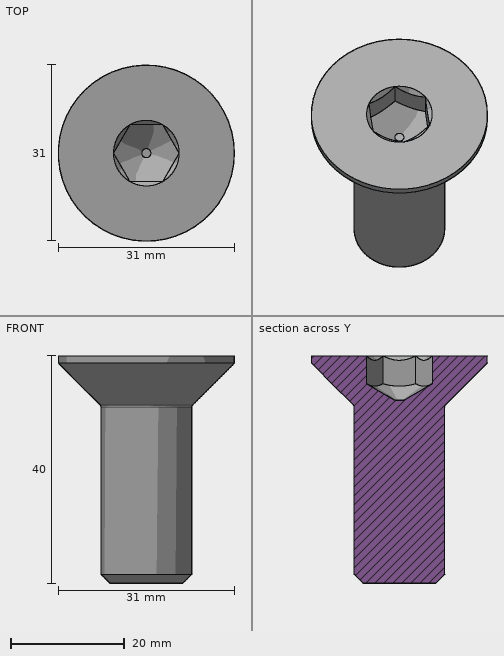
import cadquery as cq
import math

length = 40.0
head_diameter = 31.0
shank_diameter = 16.0

rim_height = 1.3
head_slope = 45.0
neck_fillet = 0.6
tip_chamfer = 1.6

socket_flats = 10.0
socket_depth = 4.9
socket_bottom_diameter = 1.6
socket_bottom_slope = 30.0
entry_slope = 45.0

head_radius = head_diameter / 2
shank_radius = shank_diameter / 2
rim_bottom = length - rim_height
cone_drop = (head_radius - shank_radius) / math.tan(math.radians(head_slope))
cone_bottom = rim_bottom - cone_drop

fillet_tangent = neck_fillet * math.tan(math.radians(head_slope / 2))
fillet_end_out = fillet_tangent * math.sin(math.radians(head_slope))
fillet_end_up = fillet_tangent * math.cos(math.radians(head_slope))

socket_corners = socket_flats / math.cos(math.radians(30))
corner_radius = socket_corners / 2
bottom_radius = socket_bottom_diameter / 2

def make_body():
    """Revolve the head, neck fillet, shank and tip chamfer about Z."""
    return (
        cq.Workplane("XZ")
        .lineTo(shank_radius - tip_chamfer, 0)
        .lineTo(shank_radius, tip_chamfer)
        .lineTo(shank_radius, cone_bottom - fillet_tangent)
        .tangentArcPoint((shank_radius + fillet_end_out, cone_bottom + fillet_end_up), relative=False)
        .lineTo(head_radius, rim_bottom)
        .lineTo(head_radius, length)
        .lineTo(0, length)
        .close()
        .revolve(360, (0, 0, 0), (0, 1, 0))
    )

def make_cone(top_z, top_radius, end_radius, slope):
    """Cone narrowing downwards from top_z at the given slope."""
    end_z = top_z - (top_radius - end_radius) * math.tan(math.radians(slope))
    return (
        cq.Workplane("XZ")
        .moveTo(0, top_z)
        .lineTo(top_radius, top_z)
        .lineTo(end_radius, end_z)
        .lineTo(0, end_z)
        .close()
        .revolve(360, (0, 0, 0), (0, 1, 0))
    )

def make_socket():
    """Hexagon with two corners on X, a countersunk entry and a conical bottom."""
    hexagon = (
        cq.Workplane("XY")
        .workplane(offset=length)
        .polygon(6, socket_corners)
        .extrude(-length)
    )
    corner_floor = length - socket_depth
    shaft = cq.Workplane("XY").workplane(offset=corner_floor).circle(corner_radius).extrude(socket_depth)
    bottom = make_cone(corner_floor, corner_radius, bottom_radius, socket_bottom_slope)
    entry = make_cone(length, corner_radius, socket_flats / 2, entry_slope)
    return hexagon.intersect(shaft.union(bottom)).union(entry)


result = make_body().cut(make_socket())